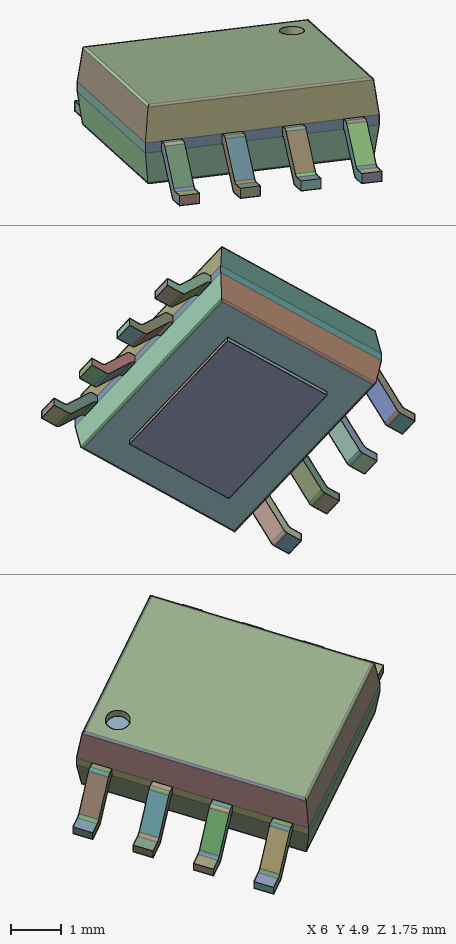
import cadquery as cq
import math

span = 6.0
height = 1.75

housing_width = 3.9
housing_length = 4.9
standoff = 0.1
belt_top = 1.0
draft_angle = 7.0
edge_radius = 0.05

mark_diameter = 0.485
mark_depth = 0.185
mark_x = -1.32
mark_y = 1.82

leads_per_side = 4
lead_pitch = 1.27
lead_width = 0.42
lead_thickness = 0.21
bend_radius = 0.1
end_clearance = 0.005
foot_bend_x = 2.705
shoulder_bend_x = 2.11

pad_width = 2.41
pad_length = 3.3

belt_bottom = belt_top - lead_thickness


def drafted_cap(base_z, cap_height):
    """Frustum that narrows away from the belt; a negative height points it down."""
    cap = (
        cq.Workplane("XY")
        .rect(housing_width, housing_length)
        .extrude(abs(cap_height), taper=draft_angle)
        .faces(">Z")
        .edges()
        .fillet(edge_radius)
    )
    if cap_height < 0:
        cap = cap.mirror("XY")
    return cap.translate((0, 0, base_z))


def make_housing():
    """Molded housing with the pin 1 mark sunk into its top face."""
    belt = (
        cq.Workplane("XY", origin=(0, 0, belt_bottom))
        .rect(housing_width, housing_length)
        .extrude(lead_thickness)
    )
    upper_cap = drafted_cap(belt_top, height - belt_top)
    lower_cap = drafted_cap(belt_bottom, standoff - belt_bottom)
    mark = (
        cq.Workplane("XY", origin=(mark_x, mark_y, height - mark_depth))
        .circle(mark_diameter / 2)
        .extrude(mark_depth)
    )
    return belt.union(upper_cap).union(lower_cap).cut(mark)


def make_lead(y):
    """Gull-wing lead on the +X side, butting against the housing belt, centred at y."""
    tip_x = span / 2
    root_x = housing_width / 2
    leg_slope = math.atan2(belt_top - lead_thickness, foot_bend_x - shoulder_bend_x)
    corner_shift = lead_thickness * math.tan(leg_slope / 2)
    outline = [
        (tip_x, 0),
        (tip_x, lead_thickness),
        (foot_bend_x, lead_thickness),
        (shoulder_bend_x, belt_top),
        (root_x, belt_top),
        (root_x, belt_bottom),
        (shoulder_bend_x - corner_shift, belt_bottom),
        (foot_bend_x - corner_shift, 0),
    ]
    blank = (
        cq.Workplane("XZ", origin=(0, y, 0))
        .polyline(outline)
        .close()
        .extrude(lead_width / 2, both=True)
    )
    bend_box = cq.selectors.BoxSelector(
        (root_x + end_clearance, y - lead_width, -height),
        (tip_x - end_clearance, y + lead_width, height),
    )
    return blank.edges("|Y").edges(bend_box).fillet(bend_radius)


def make_pad():
    """Thermal pad filling the gap between the housing underside and the seating plane."""
    return cq.Workplane("XY").rect(pad_width, pad_length).extrude(standoff)


housing = make_housing()
pad = make_pad()

leads = []
for index in range(leads_per_side):
    lead_y = (index - (leads_per_side - 1) / 2) * lead_pitch
    right_lead = make_lead(lead_y)
    leads.append(right_lead.val())
    leads.append(right_lead.mirror("YZ").val())

result = cq.Compound.makeCompound([housing.val(), pad.val(), *leads])